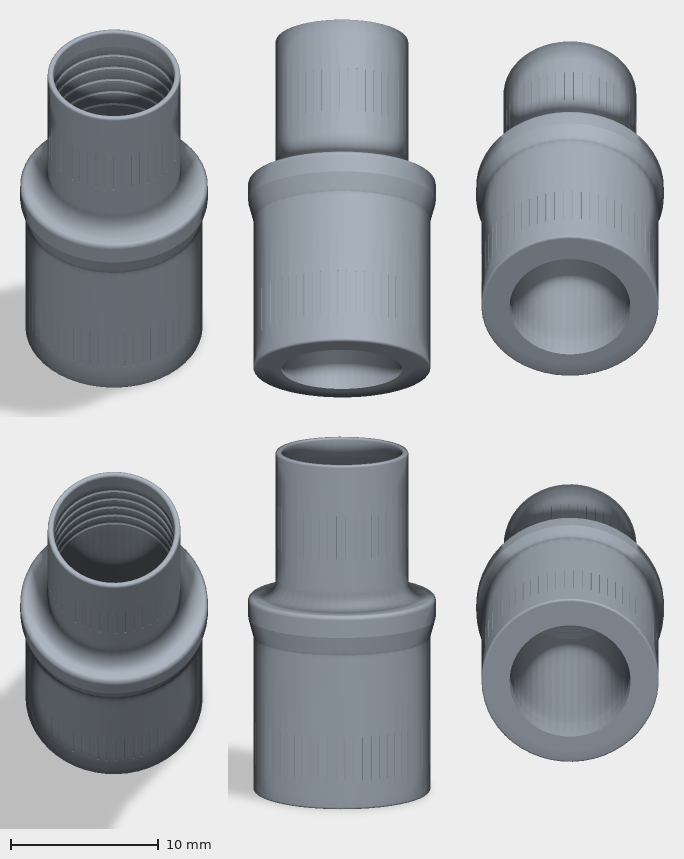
import cadquery as cq
import math

TOTAL_HEIGHT = 23.5
COLLAR_TOP_Z = 13.5
COLLAR_RIM_HEIGHT = 1.5
COLLAR_TAPER_HEIGHT = 1.3

BODY_RADIUS = 6.0
NECK_RADIUS = 4.5
COLLAR_RADIUS = 6.35

COLLAR_ROUND = 0.3
NECK_FILLET = 1.0
END_ROUND = 0.15

BORE_RADIUS = 4.1
MOUTH_LENGTH = 1.3
TOOTH_GROOVE_COUNT = 5
TOOTH_GROOVE_DEPTH = 0.1
TOOTH_TAPER_LENGTH = 0.82
TOOTH_LAND = 0.2

GROOVE_WIDTH = 0.05
GROOVE_DEPTH = 0.05
GROOVE_LENGTH = 3.0
BODY_GROOVE_COUNT = 63
BODY_GROOVE_BASE_Z = 2.0
NECK_GROOVE_COUNT = 47
NECK_GROOVE_BASE_Z = 17.0


def solid_sleeve():
    """Solid stepped sleeve: body, tapered collar and neck."""
    rim_bottom_z = COLLAR_TOP_Z - COLLAR_RIM_HEIGHT
    taper_bottom_z = rim_bottom_z - COLLAR_TAPER_HEIGHT
    arc_offset = math.sqrt(0.5)
    end_inset = END_ROUND * (1 - arc_offset)
    collar_inset = COLLAR_ROUND * (1 - arc_offset)
    neck_inset = NECK_FILLET * (1 - arc_offset)
    profile = (
        cq.Workplane("XZ")
        .moveTo(0, 0)
        .lineTo(BODY_RADIUS - END_ROUND, 0)
        .threePointArc((BODY_RADIUS - end_inset, end_inset), (BODY_RADIUS, END_ROUND))
        .lineTo(BODY_RADIUS, taper_bottom_z)
        .lineTo(COLLAR_RADIUS, rim_bottom_z)
        .lineTo(COLLAR_RADIUS, COLLAR_TOP_Z - COLLAR_ROUND)
        .threePointArc(
            (COLLAR_RADIUS - collar_inset, COLLAR_TOP_Z - collar_inset),
            (COLLAR_RADIUS - COLLAR_ROUND, COLLAR_TOP_Z),
        )
        .lineTo(NECK_RADIUS + NECK_FILLET, COLLAR_TOP_Z)
        .threePointArc(
            (NECK_RADIUS + neck_inset, COLLAR_TOP_Z + neck_inset),
            (NECK_RADIUS, COLLAR_TOP_Z + NECK_FILLET),
        )
        .lineTo(NECK_RADIUS, TOTAL_HEIGHT - END_ROUND)
        .threePointArc(
            (NECK_RADIUS - end_inset, TOTAL_HEIGHT - end_inset),
            (NECK_RADIUS - END_ROUND, TOTAL_HEIGHT),
        )
        .lineTo(0, TOTAL_HEIGHT)
        .close()
    )
    return profile.revolve(360, (0, 0, 0), (0, 1, 0))


def toothed_bore():
    """Void of the through bore, rounded at its mouth, with sawtooth grooves below it."""
    mouth_top_radius = BORE_RADIUS + END_ROUND
    mouth_inset = END_ROUND * (1 - math.sqrt(0.5))
    profile = (
        cq.Workplane("XZ")
        .moveTo(0, TOTAL_HEIGHT)
        .lineTo(mouth_top_radius, TOTAL_HEIGHT)
        .threePointArc(
            (BORE_RADIUS + mouth_inset, TOTAL_HEIGHT - mouth_inset),
            (BORE_RADIUS, TOTAL_HEIGHT - END_ROUND),
        )
    )
    groove_pitch = TOOTH_TAPER_LENGTH + TOOTH_GROOVE_DEPTH + TOOTH_LAND
    for index in range(TOOTH_GROOVE_COUNT):
        groove_top_z = TOTAL_HEIGHT - MOUTH_LENGTH - index * groove_pitch
        groove_floor_z = groove_top_z - TOOTH_TAPER_LENGTH
        profile = (
            profile.lineTo(BORE_RADIUS, groove_top_z)
            .lineTo(BORE_RADIUS + TOOTH_GROOVE_DEPTH, groove_floor_z)
            .lineTo(BORE_RADIUS, groove_floor_z - TOOTH_GROOVE_DEPTH)
        )
    profile = profile.lineTo(BORE_RADIUS, 0).lineTo(0, 0).close()
    return profile.revolve(360, (0, 0, 0), (0, 1, 0))


def axial_grooves(radius, count, base_z):
    """Ring of narrow slots, the first one facing -Y."""
    grooves = cq.Workplane("XY")
    for index in range(count):
        groove = (
            cq.Workplane("XY", origin=(0, -radius, base_z))
            .box(GROOVE_WIDTH, 2 * GROOVE_DEPTH, GROOVE_LENGTH, centered=(True, True, False))
            .rotate((0, 0, 0), (0, 0, 1), index * 360 / count)
        )
        grooves.add(groove)
    return grooves.combine(glue=True)


result = (
    solid_sleeve()
    .cut(toothed_bore())
    .cut(axial_grooves(BODY_RADIUS, BODY_GROOVE_COUNT, BODY_GROOVE_BASE_Z))
    .cut(axial_grooves(NECK_RADIUS, NECK_GROOVE_COUNT, NECK_GROOVE_BASE_Z))
)